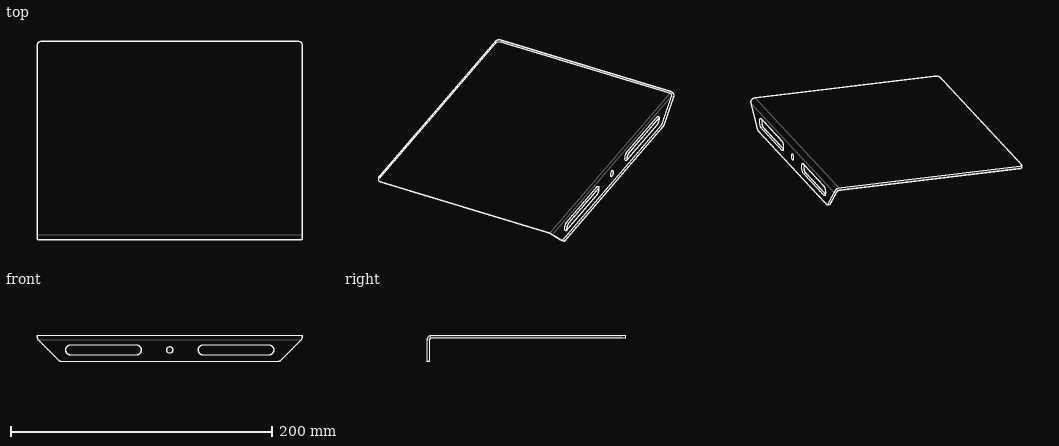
import cadquery as cq

length = 203.0
depth = 152.0
height = 20.0
thickness = 2.0
bend_outer_radius = 3.7
bend_inner_radius = bend_outer_radius - thickness
plate_corner_radius = 3.0

slope_size = 17.5
flange_corner_radius = 3.0

opening_drop = 11.2
slot_length = 57.9
slot_width = 7.5
slot_spacing = length / 2
hole_diameter = 4.7

front = -depth / 2
back = depth / 2


def bent_sheet():
    """L-shaped sheet with concentric bend radii; its top face lies at Z = 0."""
    profile = (
        cq.Workplane("YZ")
        .moveTo(back, 0)
        .lineTo(front + bend_outer_radius, 0)
        .radiusArc((front, -bend_outer_radius), -bend_outer_radius)
        .lineTo(front, -height)
        .lineTo(front + thickness, -height)
        .lineTo(front + thickness, -bend_outer_radius)
        .radiusArc((front + bend_outer_radius, -thickness), bend_inner_radius)
        .lineTo(back, -thickness)
        .close()
    )
    sheet = profile.extrude(length / 2, both=True)
    return sheet.edges("|Z and >Y").fillet(plate_corner_radius)


def flange_envelope():
    """Front outline of the sheet, extended through the whole depth."""
    block = cq.Workplane("XY").box(length, depth, height).translate((0, 0, -height / 2))
    sloped = block.edges("|Y and <Z").chamfer(slope_size)
    return sloped.edges("|Y").edges("not >Z").fillet(flange_corner_radius)


def flange_openings():
    """Two slots and a central hole, cut through the flange only."""
    face = cq.Workplane("XZ", origin=(0, front + bend_outer_radius, -opening_drop))
    slots = (
        face.pushPoints([(-slot_spacing / 2, 0), (slot_spacing / 2, 0)])
        .slot2D(slot_length, slot_width)
        .extrude(2 * bend_outer_radius)
    )
    hole = face.circle(hole_diameter / 2).extrude(2 * bend_outer_radius)
    return slots.union(hole)


result = bent_sheet().intersect(flange_envelope()).cut(flange_openings())